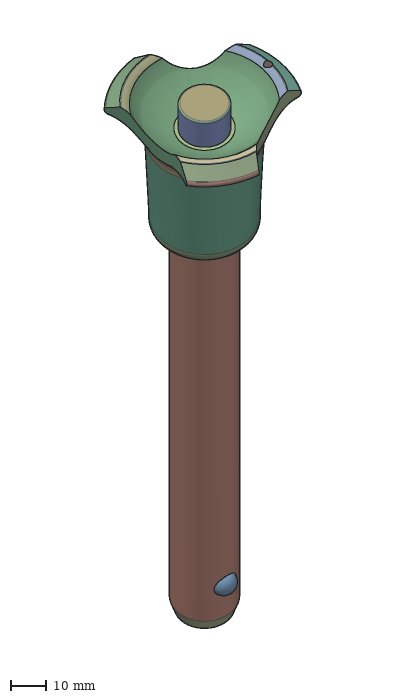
import cadquery as cq
import math


total_length = 211.2
handle_height = 50.4

shank_radius = 10.0
shank_tip_radius = 8.7
shank_tip_length = 4.4

ball_radius = 4.0
ball_reach = 12.5
ball_height = 17.3

grip_top_radius = 17.0
grip_bottom_radius = 15.8
grip_round_height = 3.6
grip_round_depth = 1.3

flare_radius = 9.4
rim_radius = 28.5
rim_depth = 5.4
rim_round = 1.3
rim_bevel_angle = 38.0

bowl_lip_radius = 23.7
bowl_edge_radius = 21.3
bowl_lip_drop = 0.8
bowl_floor_radius = 8.7
bowl_depth = 10.8
bowl_mid_radius = 18.4
bowl_mid_depth = 4.6

button_radius = 7.5
button_round = 0.5
button_drop = 0.4

scallop_distance = 17.95
front_scallop_radius = 50.0
side_scallop_radius = 30.5
front_scallop_angle = -90.0
side_scallop_angles = (30.0, 150.0)

lanyard_hole_diameter = 2.6
lanyard_hole_y = 23.3

shank_bottom = handle_height - total_length
rim_underside = handle_height - rim_depth
grip_top = rim_underside - flare_radius
bowl_floor = handle_height - bowl_depth


def make_shank():
    shank = cq.Workplane("XY").workplane(offset=shank_bottom).circle(shank_radius).extrude(-shank_bottom)
    return shank.faces("<Z").chamfer(shank_tip_length, shank_radius - shank_tip_radius)


def make_balls():
    center_x = ball_reach - ball_radius
    return (
        cq.Workplane("XY", origin=(0, 0, shank_bottom + ball_height))
        .pushPoints([(-center_x, 0), (center_x, 0)])
        .sphere(ball_radius)
    )


def rim_round_point(angle):
    """Point on the rounded rim edge, as (radius, height), at an angle above horizontal."""
    return (
        rim_radius - rim_round + rim_round * math.cos(math.radians(angle)),
        rim_underside + rim_round + rim_round * math.sin(math.radians(angle)),
    )


def make_handle_blank():
    """Revolve the grip, the flare, the rim and the hollow bowl as one profile."""
    flare_center_radius = grip_top_radius + flare_radius
    diagonal = flare_radius * math.sqrt(0.5)
    round_diagonal = 1 - math.sqrt(0.5)
    round_center_radius = rim_radius - rim_round
    bevel_normal = 90 - rim_bevel_angle
    bevel_start = rim_round_point(bevel_normal)
    bevel_height = handle_height - bevel_start[1]
    bevel_top_radius = bevel_start[0] - bevel_height / math.tan(math.radians(rim_bevel_angle))
    lip_width = bowl_lip_radius - bowl_edge_radius
    lip_round = (lip_width**2 + bowl_lip_drop**2) / (2 * bowl_lip_drop)
    lip_half_angle = math.asin(lip_width / lip_round) / 2
    return (
        cq.Workplane("XZ")
        .moveTo(0, 0)
        .lineTo(grip_bottom_radius - grip_round_depth, 0)
        .threePointArc(
            (grip_bottom_radius - grip_round_depth * round_diagonal, grip_round_height * round_diagonal),
            (grip_bottom_radius, grip_round_height),
        )
        .lineTo(grip_top_radius, grip_top)
        .threePointArc(
            (flare_center_radius - diagonal, grip_top + diagonal),
            (flare_center_radius, rim_underside),
        )
        .lineTo(round_center_radius, rim_underside)
        .threePointArc(rim_round_point(-45), rim_round_point(0))
        .threePointArc(rim_round_point(bevel_normal / 2), bevel_start)
        .lineTo(bevel_top_radius, handle_height)
        .lineTo(bowl_lip_radius, handle_height)
        .threePointArc(
            (
                bowl_lip_radius - lip_round * math.sin(lip_half_angle),
                handle_height - lip_round * (1 - math.cos(lip_half_angle)),
            ),
            (bowl_edge_radius, handle_height - bowl_lip_drop),
        )
        .threePointArc(
            (bowl_mid_radius, handle_height - bowl_mid_depth),
            (bowl_floor_radius, bowl_floor),
        )
        .lineTo(0, bowl_floor)
        .close()
        .revolve(360, (0, 0, 0), (0, 1, 0))
    )


def make_scallop(angle, radius):
    """Upright cylinder whose nearest side is scallop_distance from the axis."""
    center_distance = scallop_distance + radius
    center_x = center_distance * math.cos(math.radians(angle))
    center_y = center_distance * math.sin(math.radians(angle))
    return cq.Workplane("XY").center(center_x, center_y).circle(radius).extrude(handle_height)


def make_lanyard_hole():
    return cq.Workplane("XY").center(0, lanyard_hole_y).circle(lanyard_hole_diameter / 2).extrude(handle_height)


def make_handle():
    front_scallop = make_scallop(front_scallop_angle, front_scallop_radius)
    handle = make_handle_blank().cut(front_scallop)
    for angle in side_scallop_angles:
        handle = handle.cut(make_scallop(angle, side_scallop_radius))
    return handle.cut(make_lanyard_hole())


def make_button():
    button_length = bowl_depth - button_drop
    button = cq.Workplane("XY").workplane(offset=bowl_floor).circle(button_radius).extrude(button_length)
    return button.faces(">Z").edges().fillet(button_round)


result = make_handle().union(make_button()).union(make_shank()).union(make_balls())